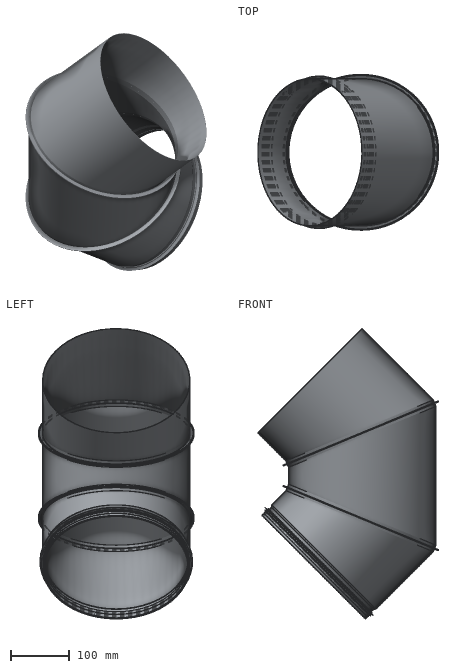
import cadquery as cq
import math

LEAN = 45.0
MITRE = LEAN / 2
HALF_MIDDLE = 72.5
UPPER_LENGTH = 125.5
LOWER_LENGTH = 117.0

SHEET = 0.6
DUCT_RADIUS = 250.5 / 2

COLLAR_HEIGHT = 6.0
SEAM_DIAMETER = 265.0
SEAM_WIDTH = SEAM_DIAMETER / 2 - DUCT_RADIUS
FOLD_WIDTH = 2.0

SPIGOT_RADIUS = 245.5 / 2
SPIGOT_LENGTH = 21.0
STEP_LENGTH = 3.5
LIP_RADIUS = 249.0 / 2
LIP_LENGTH = 5.0
HEM_LENGTH = 8.5

GASKET_RADIUS = 249.5 / 2
GASKET_TOP = 16.0
FIN_ROOT = 1.5
FINS = [(10.0, 254.5 / 2), (13.5, 259.5 / 2)]

MITRE_SLOPE = math.tan(math.radians(MITRE))
MITRE_COSINE = math.cos(math.radians(MITRE))


def joint_plane(side, away):
    """Joint plane at the top (side 1) or bottom (side -1); the normal points
    away from the middle duct (away 1) or into it (away -1)."""
    tilt = math.radians(MITRE)
    normal = (-away * math.sin(tilt), 0, away * side * math.cos(tilt))
    along = (math.cos(tilt), 0, side * math.sin(tilt))
    return cq.Plane(origin=(0, 0, side * HALF_MIDDLE), xDir=along, normal=normal)


def joint_ellipse(side, away, radius, margin, height):
    """Elliptical block that stands on a joint plane. It has the duct's section
    at the collar height, enlarged by a margin."""
    shift = -COLLAR_HEIGHT * MITRE_SLOPE
    return (
        cq.Workplane(joint_plane(side, away))
        .center(shift, 0)
        .ellipse(radius / MITRE_COSINE + margin, radius + margin)
        .extrude(height)
    )


def beyond_collar(side, away):
    """Large block on the far side of the collar's edge."""
    size = 8 * DUCT_RADIUS
    return (
        cq.Workplane(joint_plane(side, away))
        .workplane(offset=COLLAR_HEIGHT)
        .rect(size, size)
        .extrude(size)
    )


def end_flange(side):
    """Plain flange of an end duct, inside the middle duct's fold."""
    return joint_ellipse(side, 1, DUCT_RADIUS, SEAM_WIDTH - SHEET, SHEET)


def middle_flange(side):
    """Flange of the middle duct, with its edge folded round the end duct's flange."""
    fold = (
        joint_ellipse(side, 1, DUCT_RADIUS, SEAM_WIDTH, 2 * SHEET)
        .cut(joint_ellipse(side, 1, DUCT_RADIUS, SEAM_WIDTH - FOLD_WIDTH, 2 * SHEET))
        .cut(end_flange(side))
    )
    return joint_ellipse(side, -1, DUCT_RADIUS, SEAM_WIDTH, SHEET).union(fold)


def leaning_plane(side):
    """Plane at a joint with its normal along the axis of the end duct."""
    lean = math.radians(LEAN)
    axis = (-math.sin(lean), 0, side * math.cos(lean))
    return cq.Plane(origin=(0, 0, side * HALF_MIDDLE), xDir=(0, 1, 0), normal=axis)


def end_duct_block(side, radius, length):
    """Solid form of an end duct with its collar."""
    tube = (
        cq.Workplane(leaning_plane(side))
        .workplane(offset=-2 * DUCT_RADIUS)
        .circle(radius)
        .extrude(2 * DUCT_RADIUS + length)
        .intersect(beyond_collar(side, 1))
    )
    return tube.union(joint_ellipse(side, 1, radius, 0, COLLAR_HEIGHT))


def end_duct(side, length):
    """Open duct with a collar and flange at its joint."""
    bore = end_duct_block(side, DUCT_RADIUS - SHEET, length)
    return end_duct_block(side, DUCT_RADIUS, length).union(end_flange(side)).cut(bore)


def middle_block(radius):
    """Solid form of the middle duct with both collars."""
    height = 4 * DUCT_RADIUS
    block = cq.Workplane("XY").circle(radius).extrude(height / 2, both=True)
    for side in (1, -1):
        block = block.intersect(beyond_collar(side, -1))
    for side in (1, -1):
        block = block.union(joint_ellipse(side, -1, radius, 0, COLLAR_HEIGHT))
    return block


def middle_duct():
    duct = middle_block(DUCT_RADIUS)
    for side in (1, -1):
        duct = duct.union(middle_flange(side))
    return duct.cut(middle_block(DUCT_RADIUS - SHEET))


def ring_about_lower_axis(profile):
    """Revolve a closed (radius, distance from the spigot end) profile about the
    axis of the lower duct."""
    lean = math.radians(LEAN)
    end = (
        -LOWER_LENGTH * math.sin(lean),
        0,
        -HALF_MIDDLE - LOWER_LENGTH * math.cos(lean),
    )
    inward = (math.sin(lean), 0, math.cos(lean))
    plane = cq.Plane(origin=end, xDir=(math.cos(lean), 0, -math.sin(lean)), normal=(0, -1, 0))
    return cq.Workplane(plane).polyline(profile).close().revolve(360, (0, 0), (0, 1))


def spigot():
    """Tapered step, narrow wall with a hem inside its end, and a lip outside it."""
    step_top = SPIGOT_LENGTH + STEP_LENGTH
    bore_radius = SPIGOT_RADIUS - SHEET
    return ring_about_lower_axis([
        (DUCT_RADIUS - SHEET, step_top),
        (bore_radius, SPIGOT_LENGTH),
        (bore_radius, HEM_LENGTH),
        (bore_radius - SHEET, HEM_LENGTH),
        (bore_radius - SHEET, 0),
        (LIP_RADIUS, 0),
        (LIP_RADIUS, LIP_LENGTH),
        (LIP_RADIUS - SHEET, LIP_LENGTH),
        (LIP_RADIUS - SHEET, SHEET),
        (SPIGOT_RADIUS, SHEET),
        (SPIGOT_RADIUS, SPIGOT_LENGTH),
        (DUCT_RADIUS, step_top),
    ])


def lower_duct():
    plain_length = LOWER_LENGTH - SPIGOT_LENGTH - STEP_LENGTH
    return end_duct(-1, plain_length).union(spigot())


def gasket():
    """Rubber ring on the spigot: a foot under the lip, a body and sharp fins."""
    profile = [
        (SPIGOT_RADIUS, SHEET),
        (LIP_RADIUS - SHEET, SHEET),
        (LIP_RADIUS - SHEET, LIP_LENGTH),
        (GASKET_RADIUS, LIP_LENGTH),
    ]
    for middle, tip_radius in FINS:
        profile += [
            (GASKET_RADIUS, middle - FIN_ROOT / 2),
            (tip_radius, middle),
            (GASKET_RADIUS, middle + FIN_ROOT / 2),
        ]
    profile += [(GASKET_RADIUS, GASKET_TOP), (SPIGOT_RADIUS, GASKET_TOP)]
    return ring_about_lower_axis(profile)


upper = end_duct(1, UPPER_LENGTH)
middle = middle_duct()
lower = lower_duct()
seal = gasket()

result = cq.Compound.makeCompound([upper.val(), middle.val(), lower.val(), seal.val()])